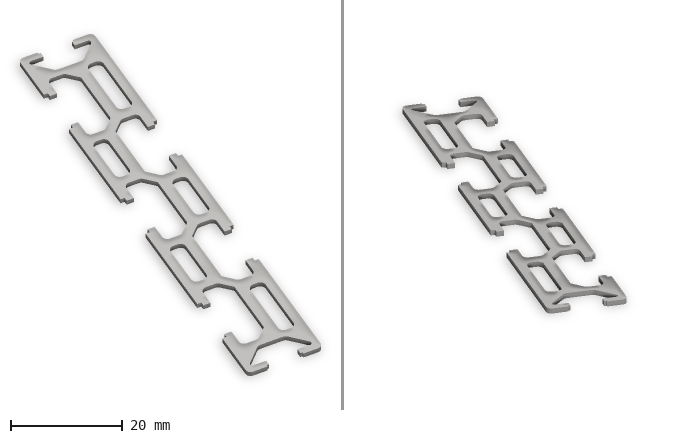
import cadquery as cq

length = 90.0
width = 15.0
thickness = 1.0
outer_corner_radius = 1.0

slot_pitch = length / 3
slot_mouth = 8.2
slot_rebate_width = 9.8
slot_rebate_depth = 0.8
slot_lip = 2.25
slot_cavity_width = 16.0
slot_depth = 7.9
slot_chamfer = 2.25
slot_fillet = 1.0

end_mouth = 6.3
end_rebate_width = 7.2
end_rebate_depth = 0.4
end_lip = 1.4
end_depth = 5.5
end_back_width = 5.5
end_tip_radius = 0.45
end_back_radius = 1.0

window_height = 3.1
window_edge_offset = 1.9
window_radius = 1.1
short_window_length = 10.1
long_window_length = 13.0
long_window_end_offset = 6.8

half_length = length / 2
half_width = width / 2
long_window_x = half_length - long_window_end_offset - long_window_length / 2


def prism(sketch):
    """Raise a flat outline to the full plate thickness."""
    return sketch.extrude(thickness)


def rectangle(x_size, y_size, x, y):
    """Full-thickness block centred at x, y."""
    return prism(cq.Workplane("XY").center(x, y).rect(x_size, y_size))


def edge_slot(x, side):
    """T-slot at x, open to the +Y edge (side = 1) or the -Y edge (side = -1)."""
    half_cavity = slot_cavity_width / 2
    half_floor = half_cavity - slot_chamfer
    lip_y = half_width - slot_lip
    floor_y = half_width - slot_depth
    cavity = prism(
        cq.Workplane("XY")
        .moveTo(-half_cavity, lip_y)
        .lineTo(half_cavity, lip_y)
        .lineTo(half_cavity, floor_y + slot_chamfer)
        .lineTo(half_floor, floor_y)
        .lineTo(-half_floor, floor_y)
        .lineTo(-half_cavity, floor_y + slot_chamfer)
        .close()
    )
    cavity = cavity.edges("|Z").edges("<X or >X").fillet(slot_fillet)
    mouth = rectangle(slot_mouth, slot_lip, 0, half_width - slot_lip / 2)
    rebate = rectangle(slot_rebate_width, slot_rebate_depth, 0, half_width - slot_rebate_depth / 2)
    slot = cavity.union(mouth).union(rebate)
    if side < 0:
        slot = slot.mirror("XZ")
    return slot.translate((x, 0, 0))


def end_slot(side):
    """Slot with 45 degree flanks, open to the +X end (side = 1) or the -X end (side = -1)."""
    lip_x = half_length - end_lip
    back_x = half_length - end_depth
    half_back = end_back_width / 2
    half_tip = half_back + lip_x - back_x
    cavity = prism(
        cq.Workplane("XY")
        .moveTo(back_x, -half_back)
        .lineTo(lip_x, -half_tip)
        .lineTo(lip_x, half_tip)
        .lineTo(back_x, half_back)
        .close()
    )
    cavity = cavity.edges("|Z and >X").fillet(end_tip_radius)
    cavity = cavity.edges("|Z and <X").fillet(end_back_radius)
    mouth = rectangle(end_lip, end_mouth, half_length - end_lip / 2, 0)
    rebate = rectangle(end_rebate_depth, end_rebate_width, half_length - end_rebate_depth / 2, 0)
    slot = cavity.union(mouth).union(rebate)
    if side < 0:
        slot = slot.mirror("YZ")
    return slot


def window(x, side, window_length):
    """Round-cornered window near the +Y edge (side = 1) or the -Y edge (side = -1)."""
    y = side * (half_width - window_edge_offset - window_height / 2)
    return rectangle(window_length, window_height, x, y).edges("|Z").fillet(window_radius)


result = rectangle(length, width, 0, 0).edges("|Z").fillet(outer_corner_radius)

for x in (-slot_pitch, 0, slot_pitch):
    result = result.cut(edge_slot(x, -1))

for x in (-slot_pitch / 2, slot_pitch / 2):
    result = result.cut(edge_slot(x, 1))
    result = result.cut(window(x, -1, short_window_length))

for side in (-1, 1):
    result = result.cut(end_slot(side))
    result = result.cut(window(side * long_window_x, 1, long_window_length))

result = result.cut(window(0, 1, short_window_length))